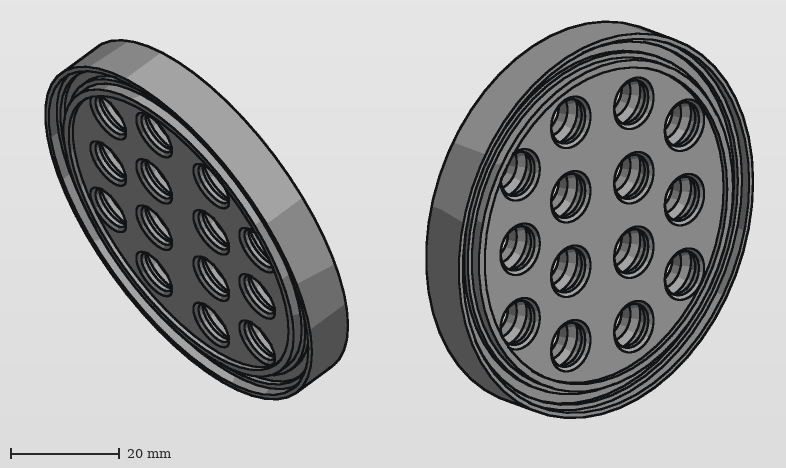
import cadquery as cq

outer_diameter = 73.0
thickness = 9.0
front_y = -thickness / 2
back_y = thickness / 2

step_outer_diameter = 71.0
step_inner_diameter = 63.0
step_depth = 2.0
groove_outer_diameter = 69.0
groove_inner_diameter = 65.0
groove_depth = 3.0
recess_diameter = 60.15
recess_depth = 1.0
recess_y = front_y + recess_depth

bore_diameter = 8.4
mouth_diameter = 9.8
mouth_depth = 0.65
lip_length = 1.0
ring_diameter = 10.95
ring_width = 1.3
ring_flank = (ring_diameter - bore_diameter) / 2
inner_column_x = 7.8
outer_column_x = 20.4
hole_pitch = 14.5


def disc(diameter, start_y, length):
    """Cylinder along +Y starting at start_y."""
    return cq.Workplane("XZ", origin=(0, start_y, 0)).circle(diameter / 2).extrude(-length)


def ring(large_diameter, small_diameter, depth):
    """Ring-shaped cut sunk from the front face."""
    return disc(large_diameter, front_y, depth).cut(disc(small_diameter, front_y, depth))


def hole_cutter():
    """Solid of revolution removed at each hole position."""
    bore_radius = bore_diameter / 2
    mouth_radius = mouth_diameter / 2
    ring_radius = ring_diameter / 2
    lip_start_y = recess_y + mouth_depth
    lip_end_y = lip_start_y + lip_length
    ring_start_y = lip_end_y + ring_flank
    ring_end_y = ring_start_y + ring_width
    profile = [
        (0, recess_y),
        (mouth_radius, recess_y),
        (bore_radius, lip_start_y),
        (bore_radius, lip_end_y),
        (ring_radius, ring_start_y),
        (ring_radius, ring_end_y),
        (bore_radius, ring_end_y + ring_flank),
        (bore_radius, back_y),
        (0, back_y),
    ]
    return cq.Workplane("XY").polyline(profile).close().revolve(360, (0, 0, 0), (0, 1, 0))


def hole_positions():
    """Staggered columns: four holes in each inner column, three in each outer one."""
    positions = []
    for column_x, count in [(inner_column_x, 4), (outer_column_x, 3)]:
        for index in range(count):
            z = (index - (count - 1) / 2) * hole_pitch
            positions += [(-column_x, z), (column_x, z)]
    return positions


result = disc(outer_diameter, front_y, thickness)
result = result.cut(ring(step_outer_diameter, step_inner_diameter, step_depth))
result = result.cut(ring(groove_outer_diameter, groove_inner_diameter, groove_depth))
result = result.cut(disc(recess_diameter, front_y, recess_depth))
for x, z in hole_positions():
    result = result.cut(hole_cutter().translate((x, 0, z)))